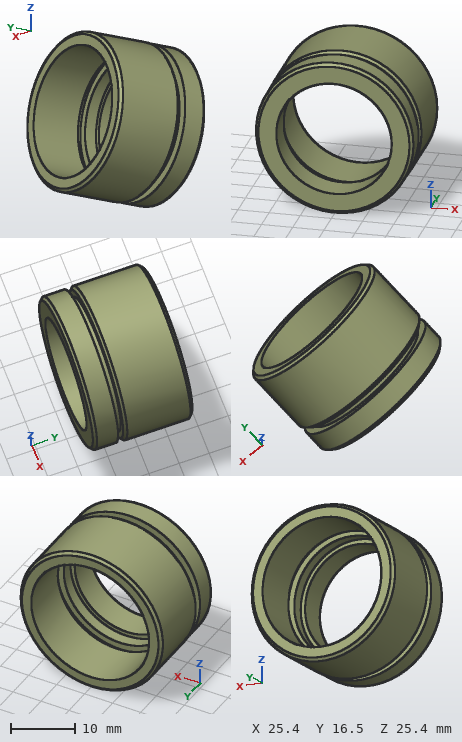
import cadquery as cq

outer_diameter = 25.4
length = 16.5
front_bore_diameter = 18.5
collar_diameter = 25.25
collar_length = 4.01
groove_diameter = 22.2
groove_width = 1.0
edge_chamfer = 0.5

middle_bore_diameter = 20.02
rear_bore_diameter = 21.03
recess_diameter = 22.5
middle_bore_start = 4.9
recess_start = 7.0
rear_bore_start = 8.0

front_y = -length / 2
body_length = length - collar_length - groove_width


def cylinder(diameter, start, depth):
    """Solid cylinder along +Y, starting a given distance behind the front face."""
    plane = cq.Workplane("XZ", origin=(0, front_y + start, 0))
    return plane.circle(diameter / 2).extrude(-depth)


collar = cylinder(collar_diameter, 0, collar_length).faces("<Y").chamfer(edge_chamfer)

body_start = collar_length + groove_width
body = cylinder(outer_diameter, body_start, body_length).faces("<Y or >Y").chamfer(edge_chamfer)

core = cylinder(groove_diameter, 0, length)

front_bore = cylinder(front_bore_diameter, 0, length)
middle_bore = cylinder(middle_bore_diameter, middle_bore_start, recess_start - middle_bore_start)
recess = cylinder(recess_diameter, recess_start, rear_bore_start - recess_start)
rear_bore = cylinder(rear_bore_diameter, rear_bore_start, length - rear_bore_start)

result = core.union(collar).union(body)
for hollow in (front_bore, middle_bore, recess, rear_bore):
    result = result.cut(hollow)